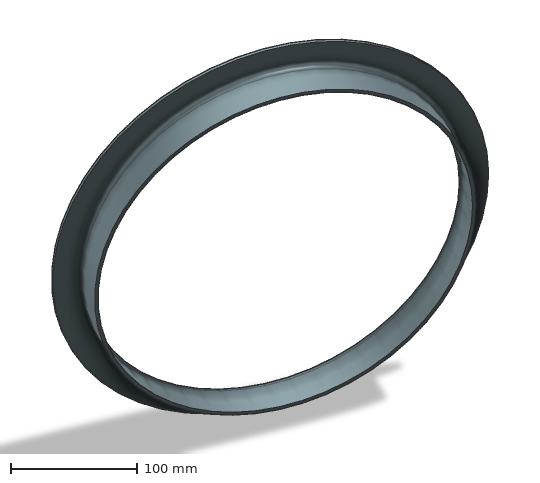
import cadquery as cq
import math

rim_diameter = 370.0
tube_outer_diameter = 323.8
tube_bore_diameter = 318.0
rim_thickness = 3.0
length = 35.0
mouth_radius = 7.0
root_radius = 5.0

rim_radius = rim_diameter / 2
outer_radius = tube_outer_diameter / 2
bore_radius = tube_bore_diameter / 2
root_end_x = rim_thickness + root_radius


def quarter_arc_midpoint(center_x, center_r, arc_radius):
    """Middle of a quarter-turn arc that bulges towards -X and the axis."""
    offset = arc_radius * math.sqrt(0.5)
    return center_x - offset, center_r - offset


mouth_center = (mouth_radius, bore_radius + mouth_radius)
root_center = (root_end_x, outer_radius + root_radius)

section = (
    cq.Workplane("XY")
    .moveTo(0, rim_radius)
    .lineTo(0, bore_radius + mouth_radius)
    .threePointArc(quarter_arc_midpoint(*mouth_center, mouth_radius), (mouth_radius, bore_radius))
    .lineTo(length, bore_radius)
    .lineTo(length, outer_radius)
    .lineTo(root_end_x, outer_radius)
    .threePointArc(
        quarter_arc_midpoint(*root_center, root_radius),
        (rim_thickness, outer_radius + root_radius),
    )
    .lineTo(rim_thickness, rim_radius)
    .close()
)

result = section.revolve(360, (0, 0, 0), (1, 0, 0))